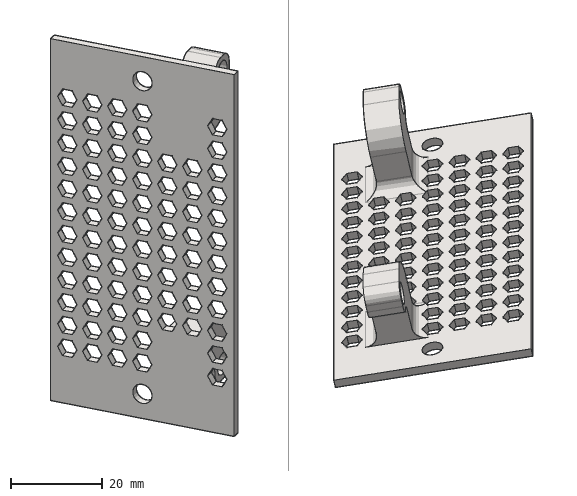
import cadquery as cq

plate_width = 44.1
plate_height = 88.2
plate_thickness = 2.0
overall_depth = 20.0

hook_width = 7.9
hook_center_x = 7.9
arm_inner_z = 23.4
arm_outer_z = 33.7
eye_tip_z = 39.4
eye_width = 7.7
eye_corner_radius = 3.0
eye_hole_diameter = 5.0
eye_hole_inset = 3.8
heel_radius = 8.3
root_fillet_radius = 3.0

hex_corner_diameter = 4.6
vent_grid_center_x = -0.04
vent_grid_center_z = -0.1
column_count = 7
column_pitch = 6.0
row_count = 12
row_span = 60.95
row_pitch = row_span / (row_count - 1)
blocked_columns = (4, 5)
blocked_rows = 2
mount_hole_diameter = 4.6
mount_hole_z = 38.1


def make_plate():
    return cq.Workplane("XY").box(
        plate_width, plate_thickness, plate_height, centered=(True, False, True)
    )


def make_upper_hook():
    """Hook profile in the YZ plane, extruded along X."""
    back_y = overall_depth
    eye_front_y = back_y - eye_width
    neck_radius = eye_tip_z - eye_corner_radius - arm_outer_z
    profile = (
        cq.Workplane("YZ", origin=(hook_center_x, 0, 0))
        .moveTo(plate_thickness, arm_inner_z)
        .lineTo(back_y - heel_radius, arm_inner_z)
        .radiusArc((back_y, arm_inner_z + heel_radius), -heel_radius)
        .lineTo(back_y, eye_tip_z - eye_corner_radius)
        .radiusArc((back_y - eye_corner_radius, eye_tip_z), -eye_corner_radius)
        .lineTo(eye_front_y + eye_corner_radius, eye_tip_z)
        .radiusArc((eye_front_y, eye_tip_z - eye_corner_radius), -eye_corner_radius)
        .radiusArc((eye_front_y - neck_radius, arm_outer_z), neck_radius)
        .lineTo(plate_thickness, arm_outer_z)
        .close()
    )
    hook = profile.extrude(hook_width / 2, both=True)
    eye_hole = (
        cq.Workplane("YZ", origin=(hook_center_x, 0, 0))
        .center(back_y - eye_hole_inset, eye_tip_z - eye_hole_inset)
        .circle(eye_hole_diameter / 2)
        .extrude(hook_width, both=True)
    )
    return hook.cut(eye_hole)


def fillet_hook_roots(body):
    """Round both sides and the inner end of each root; the outer end stays square."""
    margin = 0.1
    left_x = hook_center_x - hook_width / 2 - margin
    right_x = hook_center_x + hook_width / 2 + margin
    for side in (-1, 1):
        root_edges = cq.selectors.BoxSelector(
            (left_x, plate_thickness - margin, side * (arm_inner_z - margin)),
            (right_x, plate_thickness + margin, side * (arm_outer_z - margin)),
        )
        body = body.edges(root_edges).fillet(root_fillet_radius)
    return body


def vent_centers():
    centers = []
    for column in range(column_count):
        for row in range(row_count):
            near_end = min(row, row_count - 1 - row) < blocked_rows
            if column in blocked_columns and near_end:
                continue
            x = vent_grid_center_x + (column - (column_count - 1) / 2) * column_pitch
            z = vent_grid_center_z + (row - (row_count - 1) / 2) * row_pitch
            centers.append((x, z))
    return centers


def make_hole_cutters():
    """Hexagonal vents and round mounting holes, running along Y through plate and root fillets."""
    vents = (
        cq.Workplane("XZ")
        .pushPoints(vent_centers())
        .polygon(6, hex_corner_diameter)
        .extrude(-overall_depth)
    )
    mount_holes = (
        cq.Workplane("XZ")
        .pushPoints([(0, mount_hole_z), (0, -mount_hole_z)])
        .circle(mount_hole_diameter / 2)
        .extrude(-overall_depth)
    )
    return vents.add(mount_holes).combine()


upper_hook = make_upper_hook()
lower_hook = upper_hook.mirror("XY")
body = make_plate().union(upper_hook).union(lower_hook)
body = fillet_hook_roots(body)
result = body.cut(make_hole_cutters())